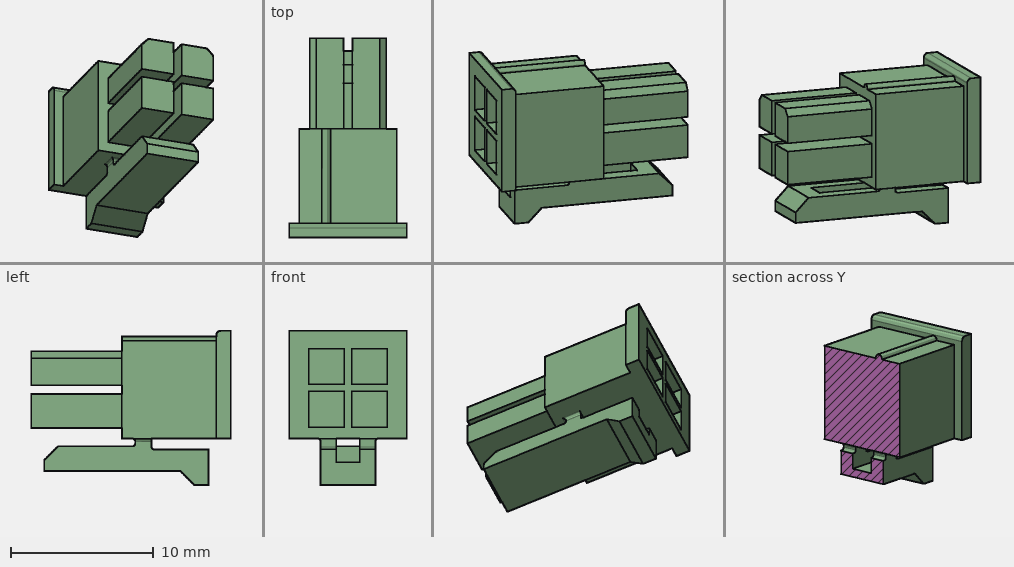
import cadquery as cq


OVERALL_HEIGHT = 10.83

FLANGE_WIDTH = 8.27
FLANGE_HEIGHT = 7.57
FLANGE_THICKNESS = 1.02
FLANGE_FILLET = 0.32

BODY_SIZE = 6.87
BODY_BACK = 7.64
BODY_CENTRE_Z = BODY_SIZE / 2

RIB_RADIUS = 0.31
RIB_X = -1.53

PITCH = 3.0
COLUMN_SIDES = (-1, 1)
ROW_SIDES = (-1, 1)

TOWER_SIZE = 2.4
TOWER_CHAMFER = 0.49
TOWER_BACK = 14.0

POCKET_SIZE = 2.5
POCKET_DEPTH = 1.0
POCKET_GRID_Z = 3.56

LATCH_WIDTH = 3.87
LATCH_FRONT = 1.56
LATCH_TIP = 13.1
LATCH_BOTTOM = -2.27
REAR_ARM_TOP = -0.53
FRONT_ARM_TOP = -0.76
TIP_CHAMFER = 0.98
HOOK_BOTTOM = FLANGE_HEIGHT - OVERALL_HEIGHT
HOOK_LENGTH = 1.0
HOOK_DROP = LATCH_BOTTOM - HOOK_BOTTOM

POST_FRONT = 5.56
POST_BACK = 6.71
POST_FILLET = 0.2

CHANNEL_WIDTH = 1.64
CHANNEL_FLOOR = -1.64
CHANNEL_BACK = 10.84


def block(x_centre, width, y_range, z_range):
    """Box centred on x_centre, spanning the given y and z ranges."""
    y_front, y_back = y_range
    z_low, z_high = z_range
    return cq.Workplane("XY").box(
        width, y_back - y_front, z_high - z_low, centered=(True, False, False)
    ).translate((x_centre, y_front, z_low))


def make_flange():
    flange = block(0, FLANGE_WIDTH, (0, FLANGE_THICKNESS), (0, FLANGE_HEIGHT))
    return flange.faces(">Y").edges(">Z").fillet(FLANGE_FILLET)


def make_body():
    body = block(0, BODY_SIZE, (0, BODY_BACK), (0, BODY_SIZE))
    rib = (
        cq.Workplane("XZ", origin=(0, FLANGE_THICKNESS, 0))
        .center(RIB_X, BODY_SIZE)
        .circle(RIB_RADIUS)
        .extrude(FLANGE_THICKNESS - BODY_BACK)
    )
    return body.union(rib)


def square_at(column, row, size, grid_z, y_range):
    """Square prism at one position of the contact grid."""
    x_centre = column * PITCH / 2
    z_centre = grid_z + row * PITCH / 2
    return block(x_centre, size, y_range, (z_centre - size / 2, z_centre + size / 2))


def make_tower(column, row):
    tower = square_at(column, row, TOWER_SIZE, BODY_CENTRE_Z, (BODY_BACK, TOWER_BACK))
    if row > 0:
        outer_side = ">X" if column > 0 else "<X"
        tower = tower.faces(">Z").edges(outer_side).chamfer(TOWER_CHAMFER)
    return tower


def make_pocket(column, row):
    return square_at(column, row, POCKET_SIZE, POCKET_GRID_Z, (0, POCKET_DEPTH))


def make_latch():
    """Latch side profile, post included, extruded across its width."""
    r = POST_FILLET
    profile = (
        cq.Workplane("YZ", origin=(-LATCH_WIDTH / 2, 0, 0))
        .moveTo(POST_FRONT, 0)
        .lineTo(POST_FRONT, FRONT_ARM_TOP + r)
        .radiusArc((POST_FRONT - r, FRONT_ARM_TOP), r)
        .lineTo(LATCH_FRONT, FRONT_ARM_TOP)
        .lineTo(LATCH_FRONT, HOOK_BOTTOM)
        .lineTo(LATCH_FRONT + HOOK_LENGTH, HOOK_BOTTOM)
        .lineTo(LATCH_FRONT + HOOK_LENGTH + HOOK_DROP, LATCH_BOTTOM)
        .lineTo(LATCH_TIP, LATCH_BOTTOM)
        .lineTo(LATCH_TIP, REAR_ARM_TOP - TIP_CHAMFER)
        .lineTo(LATCH_TIP - TIP_CHAMFER, REAR_ARM_TOP)
        .lineTo(POST_BACK + r, REAR_ARM_TOP)
        .radiusArc((POST_BACK, REAR_ARM_TOP + r), r)
        .lineTo(POST_BACK, 0)
        .close()
    )
    return profile.extrude(LATCH_WIDTH)


def fillet_post_root(housing):
    """Blend the back and both sides of the post into the underside of the body."""
    margin = POST_FILLET / 2
    half_width = LATCH_WIDTH / 2
    post_centre_y = (POST_FRONT + POST_BACK) / 2
    edge_midpoints = [
        (0, POST_BACK),
        (-half_width, post_centre_y),
        (half_width, post_centre_y),
    ]
    root_edges = cq.Workplane()
    for x, y in edge_midpoints:
        edge_box = cq.selectors.BoxSelector(
            (x - margin, y - margin, -margin), (x + margin, y + margin, margin)
        )
        root_edges = root_edges.add(housing.edges(edge_box))
    return housing.newObject(root_edges.vals()).fillet(POST_FILLET)


def make_channel():
    return block(0, CHANNEL_WIDTH, (LATCH_FRONT, CHANNEL_BACK), (CHANNEL_FLOOR, 0))


housing = make_flange().union(make_body()).union(make_latch())
housing = fillet_post_root(housing).cut(make_channel())
for column in COLUMN_SIDES:
    for row in ROW_SIDES:
        housing = housing.union(make_tower(column, row))
        housing = housing.cut(make_pocket(column, row))

result = housing